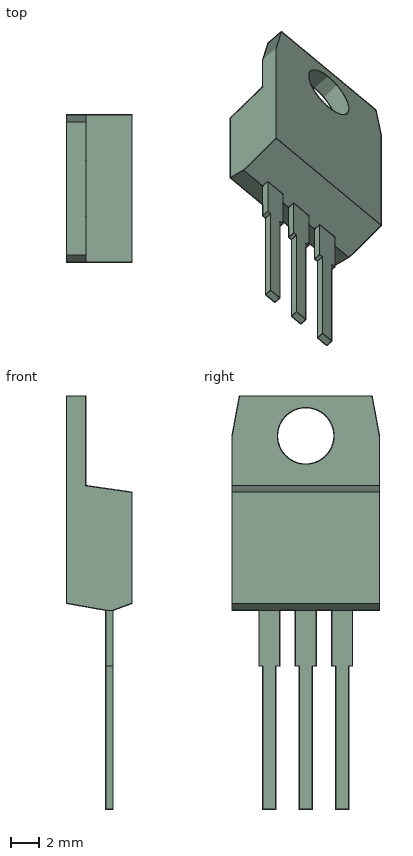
import cadquery as cq

height = 29.52
width = 10.55
depth = 4.7

tab_thickness = 1.4
corner_drop = 2.85
corner_inset = 0.53
hole_diameter = 4.0
hole_z = height - corner_drop

body_top_inner = 23.1
body_top_outer = 22.65
body_bottom_edge = 14.7
body_bottom_z = 14.2

lead_count = 3
lead_pitch = 2.6
lead_thickness = 0.53
lead_center_x = 3.07
lead_width = 0.95
shoulder_width = 1.5
shoulder_z = 10.2
lead_embed = 0.9


def make_body():
    """Side profile of tab and body, extruded across the width."""
    profile = [
        (0, body_bottom_edge),
        (lead_center_x - lead_thickness / 2, body_bottom_z),
        (lead_center_x + lead_thickness / 2, body_bottom_z),
        (depth, body_bottom_edge),
        (depth, body_top_outer),
        (tab_thickness, body_top_inner),
        (tab_thickness, height),
        (0, height),
    ]
    return cq.Workplane("XZ").polyline(profile).close().extrude(width / 2, both=True)


def make_corner_cut(side):
    """Wedge that slopes one top corner of the tab; side is -1 or 1."""
    edge_y = side * width / 2
    wedge = [
        (edge_y, height - corner_drop),
        (edge_y, height),
        (edge_y - side * corner_inset, height),
    ]
    return cq.Workplane("YZ").polyline(wedge).close().extrude(tab_thickness)


def make_hole():
    """Mounting hole through the tab."""
    return cq.Workplane("YZ").center(0, hole_z).circle(hole_diameter / 2).extrude(tab_thickness)


def make_lead(y):
    """Flat lead with a wider shoulder next to the body."""
    lead_top = body_bottom_z + lead_embed
    pin = cq.Workplane("XY").box(
        lead_thickness, lead_width, lead_top, centered=(True, True, False)
    )
    shoulder = cq.Workplane("XY", origin=(0, 0, shoulder_z)).box(
        lead_thickness, shoulder_width, lead_top - shoulder_z, centered=(True, True, False)
    )
    return pin.union(shoulder).translate((lead_center_x, y, 0))


result = make_body().cut(make_hole())
for side in (-1, 1):
    result = result.cut(make_corner_cut(side))
for index in range(lead_count):
    lead_y = (index - (lead_count - 1) / 2) * lead_pitch
    result = result.union(make_lead(lead_y))